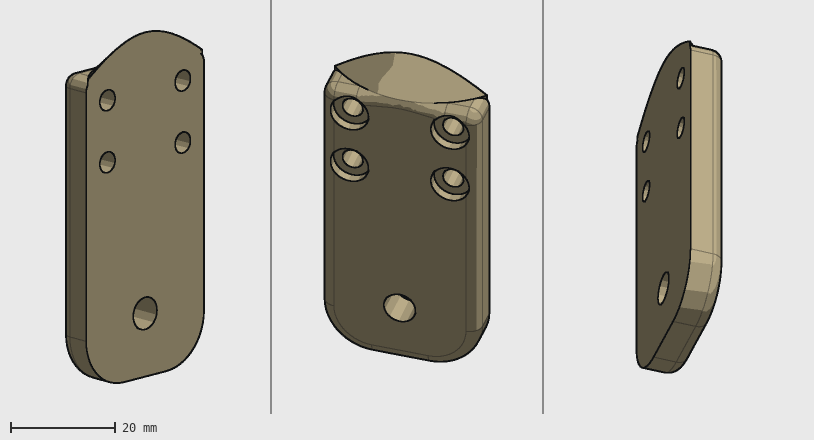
import cadquery as cq

thickness = 7.1
width = 31.75
total_height = 68.7
plate_height = 62.25
bottom_corner_radius = 10.2
edge_radius = 2.55

crest_height = total_height - plate_height
crest_half_width = 15.4
crest_depth = crest_height
crest_base_radius = (crest_half_width**2 + crest_depth**2) / (2 * crest_depth)
cone_axis_x = crest_base_radius - crest_depth
skirt_height = 2.75

screw_spacing_y = 20.3
screw_spacing_z = 12.4
lower_screw_z = 44.7
screw_diameter = 4.1
counterbore_diameter = 7.7
counterbore_depth = 2.05
hanging_hole_diameter = 6.4
hanging_hole_z = 12.65


def make_plate():
    plate = cq.Workplane("XY").box(thickness, width, plate_height, centered=(False, True, False))
    plate = plate.translate((-thickness, 0, 0))
    plate = plate.edges("|X and <Z").fillet(bottom_corner_radius)
    return plate.edges("|X and >Z").fillet(edge_radius)


def front_half_space(depth, y_width):
    """Block reaching forward from the back plane, taller than the whole part."""
    block = cq.Workplane("XY").box(depth, y_width, 2 * total_height, centered=(False, True, True))
    return block.translate((-depth, 0, 0))


def make_cone(base_z):
    """45 degree cone from base_z up to the top of the crest."""
    top_radius = cone_axis_x
    base_radius = top_radius + total_height - base_z
    cone = cq.Solid.makeCone(base_radius, top_radius, total_height - base_z)
    return cq.Workplane(obj=cone).translate((cone_axis_x, 0, base_z))


def make_crest():
    skirt = cq.Workplane("XY").circle(crest_base_radius).extrude(skirt_height)
    skirt = skirt.translate((cone_axis_x, 0, plate_height - skirt_height))
    crest = make_cone(plate_height).union(skirt)
    return crest.intersect(front_half_space(thickness, width))


def make_hole(diameter, depth, y, z):
    """Round cutter going from the front face toward +X."""
    hole = cq.Workplane("YZ").circle(diameter / 2).extrude(depth)
    return hole.translate((-thickness, y, z))


result = make_plate().union(make_crest())

result = result.faces("<X").edges().fillet(edge_radius)

for screw_y in (-screw_spacing_y / 2, screw_spacing_y / 2):
    for screw_z in (lower_screw_z, lower_screw_z + screw_spacing_z):
        result = result.cut(make_hole(screw_diameter, thickness, screw_y, screw_z))
        result = result.cut(make_hole(counterbore_diameter, counterbore_depth, screw_y, screw_z))

result = result.cut(make_hole(hanging_hole_diameter, thickness, 0, hanging_hole_z))